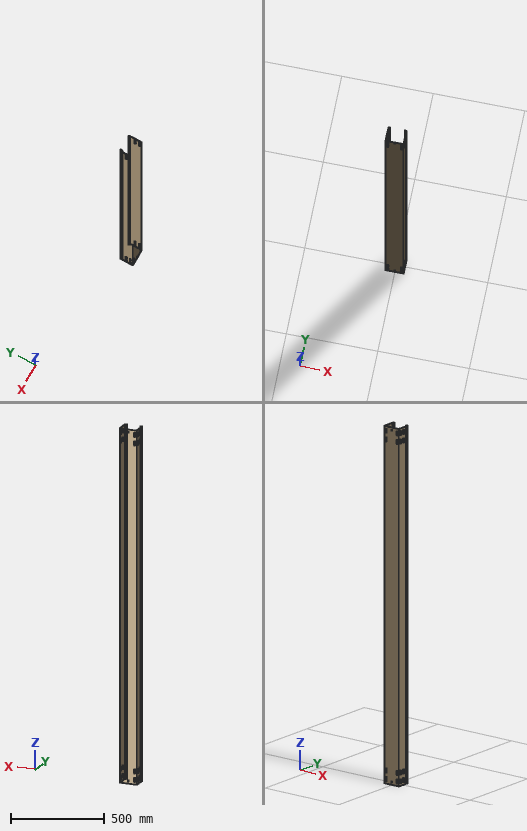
import cadquery as cq
import math

LENGTH = 2000.0
WIDTH = 100.0
DEPTH = 80.0
SHEET = 2.0

BEND_RADIUS = 3.0
LIP_WIDTH = 10.0
LIP_RETURN = 5.0
GROOVE_DEPTH = 4.2
SHOULDER_DROP = 11.5
GROOVE_TOP_DROP = 9.0

END_TO_FIRST_SLOT = 25.0
SLOT_PITCH = 48.0
SLOT_LENGTH = 25.0
NARROW_SLOT_WIDTH = 5.0
WIDE_SLOT_WIDTH = 10.0
WEB_SLOT_SPACING = 75.0
NARROW_SLOT_FROM_WEB = 15.0
WIDE_SLOT_FROM_WEB = 42.0
HOLE_DIAMETER = 5.0
END_TO_HOLE = 15.0

FRONT = -DEPTH / 2
BACK = DEPTH / 2
HALF_LENGTH = LENGTH / 2
SLOT_HEIGHTS = [
    end * (HALF_LENGTH - END_TO_FIRST_SLOT - row * SLOT_PITCH)
    for end in (-1, 1)
    for row in (0, 1)
]


def half_centreline(side):
    """Edges of the sheet's middle line from the web centre to the lip end on one side."""
    wall = WIDTH / 2 - SHEET / 2
    groove_floor = wall - GROOVE_DEPTH
    top = BACK - SHEET / 2
    shoulder = BACK - SHOULDER_DROP - SHEET / 2
    groove_top = BACK - GROOVE_TOP_DROP + SHEET / 2
    web = FRONT + SHEET / 2

    def at(x, y):
        return cq.Vector(side * x, y, -HALF_LENGTH)

    def bend(x, y):
        """Quarter-round bend from the wall direction into the inward direction."""
        diagonal = BEND_RADIUS * (1 - math.sqrt(0.5))
        return cq.Edge.makeThreePointArc(
            at(x, y - BEND_RADIUS), at(x - diagonal, y - diagonal), at(x - BEND_RADIUS, y)
        )

    def straight(*points):
        return [cq.Edge.makeLine(start, end) for start, end in zip(points, points[1:])]

    return (
        straight(at(0, web), at(wall, web), at(wall, shoulder - BEND_RADIUS))
        + [bend(wall, shoulder)]
        + straight(
            at(wall - BEND_RADIUS, shoulder),
            at(groove_floor, shoulder),
            at(groove_floor, groove_top),
            at(wall, groove_top),
            at(wall, top - BEND_RADIUS),
        )
        + [bend(wall, top)]
        + straight(
            at(wall - BEND_RADIUS, top),
            at(wall - LIP_WIDTH + SHEET, top),
            at(wall - LIP_WIDTH + SHEET, top - LIP_RETURN),
        )
    )


def channel():
    """Folded C channel, open at the back, with a grooved and lipped edge on each flange."""
    centreline = cq.Wire.assembleEdges(half_centreline(-1)[::-1] + half_centreline(1))
    section = centreline.offset2D(SHEET / 2, "arc")[0]
    return cq.Workplane(cq.Solid.extrudeLinear(section, [], cq.Vector(0, 0, LENGTH)))


def web_cutters():
    """Slots and centre holes that pass through the web only."""
    plane = cq.Workplane("XZ", origin=(0, FRONT + SHEET, 0))
    slot_places = [
        (side * WEB_SLOT_SPACING / 2, z) for side in (-1, 1) for z in SLOT_HEIGHTS
    ]
    hole_places = [(0, end * (HALF_LENGTH - END_TO_HOLE)) for end in (-1, 1)]
    slots = plane.pushPoints(slot_places).slot2D(SLOT_LENGTH, NARROW_SLOT_WIDTH, 90).extrude(SHEET)
    holes = plane.pushPoints(hole_places).circle(HOLE_DIAMETER / 2).extrude(SHEET)
    return slots.union(holes)


def flange_slots(distance_from_web, width):
    """One column of upright slots through both flanges."""
    places = [(FRONT + distance_from_web, z) for z in SLOT_HEIGHTS]
    return (
        cq.Workplane("YZ")
        .pushPoints(places)
        .slot2D(SLOT_LENGTH, width, 90)
        .extrude(WIDTH, both=True)
    )


result = (
    channel()
    .cut(web_cutters())
    .cut(flange_slots(NARROW_SLOT_FROM_WEB, NARROW_SLOT_WIDTH))
    .cut(flange_slots(WIDE_SLOT_FROM_WEB, WIDE_SLOT_WIDTH))
)